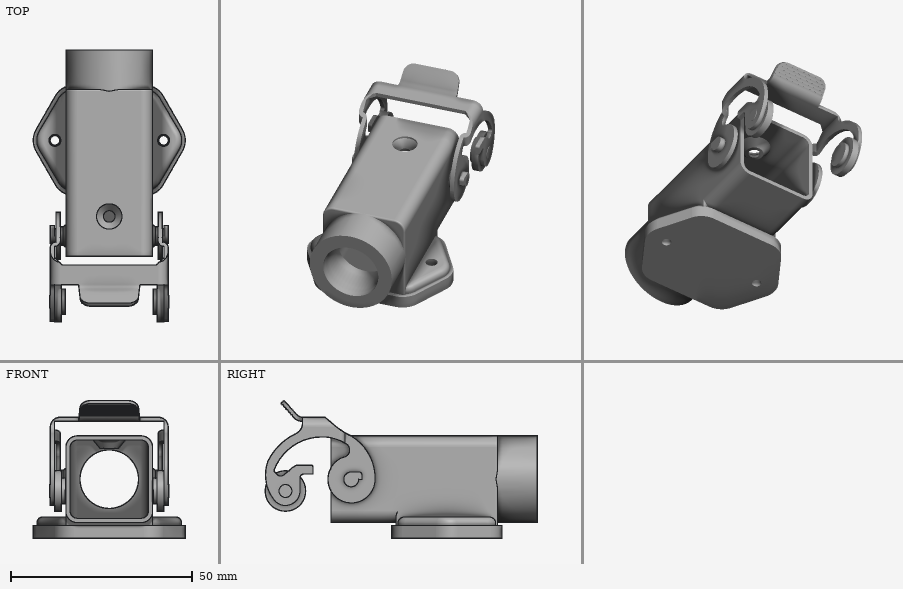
import cadquery as cq
import math

FLANGE_R = 6.0
FLANGE_TIP_X = 15.01
FLANGE_SHOULDER_X = 9.7
FLANGE_SHOULDER_Y = 9.27
FLANGE_BASE_H = 3.6
FLANGE_TOP_H = 5.95
FLANGE_STEP = 1.0
FLANGE_TOP_FILLET = 1.7
SCREW_HOLE_X = 15.0
SCREW_HOLE_R = 1.3
SCREW_COUNTERBORE_R = 1.65

TUBE_W = 24.0
TUBE_WALL = 1.2
TUBE_CORNER_R = 3.2
TUBE_AXIS_Z = 16.36
TUBE_FRONT_Y = -32.0
TUBE_BACK_Y = 14.05
PEDESTAL_FRONT_Y = -TUBE_BACK_Y
HOOD_EDGE_R = 0.5
CAVITY_BACK_R = 2.1

ENTRY_BACK_Y = 25.0
ENTRY_BORE_R = 8.05

SEAT_Y = -21.0
SEAT_TIP_DROP = 3.5
SEAT_ROOF_R = 4.5
SEAT_TIP_R = 2.55
SEAT_LIP = 0.55
SINK_R = 3.5
SINK_DEPTH = 2.2
SINK_HOLE_R = 1.6

SHEET = 1.2
LEVER_HALF_W = 16.3
EAR_HALF_W = 14.7
JOGGLE_Y = -28.1
JOGGLE_R = 1.5
BEND_R = 2.8
BAR_TOP_Z = 33.5
BAR_BACK_Y = -34.4
BAR_FRONT_Y = -39.86
BAR_BEVEL_X = 13.0
BAR_BEVEL_REACH = 3.5

LEVER_FRONT_Y = -60.0
LEVER_BACK_Y = -10.0
EAR_FRONT_Y = -34.0
EAR_TOP_Z = 24.0

PIVOT_Y = -26.4
PIVOT_Z = 16.3
EAR_R = 6.5
EAR_BACK = (-19.82, 16.4)
ARCH_Y = -34.54
ARCH_Z = 13.98
ARCH_OUTER_R = 16.6
ARCH_INNER_R = 14.0
ROLLER_Y = -44.55
ROLLER_Z = 13.1
HOOK_R = 4.0

BOSS_R = 2.6
BOSS_ROOT_R = 3.15
BOSS_ROOT_L = 0.7
PIN_R = 2.05
PIN_TAB_REACH = 2.95
PIN_TAB_CORNER = 0.8
ROLLER_R = 5.61
ROLLER_INNER_X = 13.25
ROLLER_BOSS_R = 3.55
ROLLER_BOSS_X = 12.1
RIVET_R = 1.78
RIVET_PROUD = 0.15

TAB_ANGLE = math.radians(48)
TAB_BEND_R = 2.1
TAB_TIP_Z = 38.1
TAB_ROOT_HALF_W = 8.5
TAB_TIP_HALF_W = 7.8
TAB_CORNER_R = 3.0
GROOVE_COUNT = 5
GROOVE_PITCH = 0.9
GROOVE_W = 0.45
GROOVE_DEPTH = 0.15


def mirrored(shape):
    """The shape together with its mirror image across the YZ plane."""
    return shape.union(shape.mirror("YZ"))


def x_cylinder(y, z, radius, x_from, x_to):
    return cq.Workplane("YZ", origin=(x_from, 0, 0)).center(y, z).circle(radius).extrude(x_to - x_from)


def xz_plane(y):
    """Workplane at the given Y whose extrusions grow toward +Y."""
    return cq.Workplane(cq.Plane((0, y, TUBE_AXIS_Z), (-1, 0, 0), (0, 1, 0)))


def flange_layer(radius, shoulder_y, height):
    corners = [
        (FLANGE_TIP_X, 0),
        (FLANGE_SHOULDER_X, shoulder_y),
        (-FLANGE_SHOULDER_X, shoulder_y),
        (-FLANGE_TIP_X, 0),
        (-FLANGE_SHOULDER_X, -shoulder_y),
        (FLANGE_SHOULDER_X, -shoulder_y),
    ]
    return cq.Workplane("XY").polyline(corners).close().offset2D(radius).extrude(height)


def make_flange():
    """Lower layer, with a rounded upper layer whose ends are flush with the pedestal."""
    upper_r = FLANGE_R - FLANGE_STEP
    upper = flange_layer(upper_r, TUBE_BACK_Y - upper_r, FLANGE_TOP_H)
    upper = upper.faces(">Z").edges().fillet(FLANGE_TOP_FILLET)
    return flange_layer(FLANGE_R, FLANGE_SHOULDER_Y, FLANGE_BASE_H).union(upper)


def make_screw_holes():
    """Through holes, counterbored down to the lower flange layer."""
    centres = [(-SCREW_HOLE_X, 0), (SCREW_HOLE_X, 0)]
    holes = cq.Workplane("XY").pushPoints(centres).circle(SCREW_HOLE_R).extrude(FLANGE_TOP_H)
    counterbores = (
        cq.Workplane("XY", origin=(0, 0, FLANGE_BASE_H))
        .pushPoints(centres)
        .circle(SCREW_COUNTERBORE_R)
        .extrude(FLANGE_TOP_H - FLANGE_BASE_H)
    )
    return holes.union(counterbores)


def make_hood():
    tube = xz_plane(TUBE_FRONT_Y).rect(TUBE_W, TUBE_W).extrude(TUBE_BACK_Y - TUBE_FRONT_Y)
    tube = tube.edges("|Y").fillet(TUBE_CORNER_R).faces(">Y").edges().fillet(HOOD_EDGE_R)
    pedestal = (
        cq.Workplane("XY")
        .center(0, (TUBE_BACK_Y + PEDESTAL_FRONT_Y) / 2)
        .rect(TUBE_W, TUBE_BACK_Y - PEDESTAL_FRONT_Y)
        .extrude(TUBE_AXIS_Z)
        .edges("|Z")
        .fillet(HOOD_EDGE_R)
    )
    entry_start_y = TUBE_BACK_Y - TUBE_WALL
    entry = xz_plane(entry_start_y).circle(TUBE_W / 2).extrude(ENTRY_BACK_Y - entry_start_y)
    return tube.union(pedestal).union(entry)


def make_cavity():
    width = TUBE_W - 2 * TUBE_WALL
    depth = TUBE_BACK_Y - TUBE_WALL - TUBE_FRONT_Y
    cavity = xz_plane(TUBE_FRONT_Y).rect(width, width).extrude(depth)
    cavity = cavity.edges("|Y").fillet(TUBE_CORNER_R - TUBE_WALL)
    rounded_back = (
        xz_plane(TUBE_FRONT_Y).rect(width, width).extrude(depth).edges("|Z and >Y").fillet(CAVITY_BACK_R)
    )
    bore = xz_plane(TUBE_FRONT_Y).circle(ENTRY_BORE_R).extrude(ENTRY_BACK_Y - TUBE_FRONT_Y)
    return cavity.intersect(rounded_back).union(bore)


def revolved_about_seat(profile):
    """Revolve (radius, z) points about the vertical axis of the screw seat."""
    seat = cq.Workplane("XZ", origin=(0, SEAT_Y, 0)).polyline(profile).close()
    return seat.revolve(360, (0, 0, 0), (0, 1, 0))


def add_screw_seat(body):
    roof_z = TUBE_AXIS_Z + TUBE_W / 2
    ceiling_z = roof_z - TUBE_WALL
    tip_z = roof_z - SEAT_TIP_DROP
    sink_z = roof_z - SEAT_LIP
    hole_z = sink_z - SINK_DEPTH
    cone = [(0, roof_z), (SEAT_ROOF_R, roof_z), (SEAT_ROOF_R, ceiling_z), (SEAT_TIP_R, tip_z), (0, tip_z)]
    sink = [
        (0, roof_z),
        (SINK_R, roof_z),
        (SINK_R, sink_z),
        (SINK_HOLE_R, hole_z),
        (SINK_HOLE_R, tip_z),
        (0, tip_z),
    ]
    return body.union(revolved_about_seat(cone)).cut(revolved_about_seat(sink))


def lever_side():
    """Outline of the whole lever in the YZ plane, extruded across its full width."""
    outline = (
        cq.Workplane("YZ", origin=(-LEVER_HALF_W, 0, 0))
        .moveTo(*EAR_BACK)
        .threePointArc((-21.97, 24.0), (-28.0, 29.1))
        .lineTo(-30.35, 30.7)
        .lineTo(-33.64, BAR_TOP_Z)
        .lineTo(BAR_FRONT_Y, BAR_TOP_Z)
        .lineTo(BAR_FRONT_Y, 31.7)
        .threePointArc((-40.3, 30.2), on_arch(ARCH_OUTER_R, -41.48))
        .threePointArc(on_arch(ARCH_OUTER_R, -45.0), on_arch(ARCH_OUTER_R, -49.39))
        .threePointArc((-50.06, 17.0), (-47.9, 10.93))
        .threePointArc((ROLLER_Y, ROLLER_Z - HOOK_R), (ROLLER_Y + HOOK_R, ROLLER_Z))
        .lineTo(ROLLER_Y + HOOK_R, 16.65)
        .threePointArc((-40.2, 17.45), (-39.4, 17.78))
        .lineTo(-36.92, 17.78)
        .lineTo(-36.92, 19.6)
        .threePointArc((-37.1, 20.1), (-37.6, 20.27))
        .lineTo(-41.33, 20.27)
        .threePointArc((-42.3, 19.8), (-43.38, 18.91))
        .lineTo(-44.96, 17.55)
        .threePointArc((-46.1, 17.26), (-47.2, 18.1))
        .threePointArc((-47.6, 18.5), on_arch(ARCH_INNER_R, -47.63))
        .threePointArc(on_arch(ARCH_INNER_R, -43.0), (ARCH_Y, ARCH_Z + ARCH_INNER_R))
        .threePointArc((-31.2, 27.6), (-28.09, 26.27))
        .threePointArc((-26.84, 24.69), (-28.65, 22.4))
        .threePointArc((PIVOT_Y, PIVOT_Z - EAR_R), EAR_BACK)
        .close()
    )
    return outline.extrude(2 * LEVER_HALF_W)


def on_arch(radius, y):
    """Point at the given Y on an arc about the arch centre."""
    return y, ARCH_Z + math.sqrt(radius**2 - (y - ARCH_Y) ** 2)


def box(x0, x1, y0, y1, z0, z1):
    return cq.Workplane("XY").box(x1 - x0, y1 - y0, z1 - z0, centered=False).translate((x0, y0, z0))


def make_lever():
    inner_x = LEVER_HALF_W - SHEET
    ear_inner_x = EAR_HALF_W - SHEET
    joggle_start_y = JOGGLE_Y - JOGGLE_R
    joggle_inner_r = inner_x - ear_inner_x
    joggle_mid = JOGGLE_R * math.sqrt(0.5)
    arm = (
        cq.Workplane("XY")
        .moveTo(inner_x, LEVER_FRONT_Y)
        .lineTo(LEVER_HALF_W, LEVER_FRONT_Y)
        .lineTo(LEVER_HALF_W, joggle_start_y)
        .threePointArc(
            (LEVER_HALF_W - JOGGLE_R + joggle_mid, joggle_start_y + joggle_mid),
            (LEVER_HALF_W - JOGGLE_R, JOGGLE_Y),
        )
        .lineTo(EAR_HALF_W, JOGGLE_Y)
        .lineTo(EAR_HALF_W, LEVER_BACK_Y)
        .lineTo(ear_inner_x, LEVER_BACK_Y)
        .lineTo(ear_inner_x, JOGGLE_Y - SHEET + joggle_inner_r)
        .radiusArc((inner_x, JOGGLE_Y - SHEET), -joggle_inner_r)
        .close()
        .extrude(BAR_TOP_Z)
    )
    arm = arm.cut(box(EAR_HALF_W, LEVER_HALF_W, EAR_FRONT_Y, JOGGLE_Y, 0, EAR_TOP_Z))
    ear = box(ear_inner_x, EAR_HALF_W, EAR_FRONT_Y, LEVER_BACK_Y, 0, EAR_TOP_Z)
    bevel_x = BAR_BEVEL_X + BAR_BEVEL_REACH
    bar = (
        cq.Workplane("XY", origin=(0, 0, BAR_TOP_Z - SHEET))
        .moveTo(0, BAR_FRONT_Y)
        .lineTo(bevel_x, BAR_FRONT_Y)
        .lineTo(bevel_x, BAR_BACK_Y + BAR_BEVEL_REACH)
        .lineTo(BAR_BEVEL_X, BAR_BACK_Y)
        .lineTo(0, BAR_BACK_Y)
        .close()
        .extrude(SHEET)
    )
    bend = box(-LEVER_HALF_W, LEVER_HALF_W, LEVER_FRONT_Y, LEVER_BACK_Y, 0, BAR_TOP_Z)
    bend = bend.edges("|Y and >Z").fillet(BEND_R)
    sheet = mirrored(arm.union(ear).union(bar))
    return sheet.intersect(bend).intersect(lever_side())


def make_tab():
    bend_z = BAR_TOP_Z + TAB_BEND_R
    outer_r = TAB_BEND_R + SHEET
    slope = (-math.cos(TAB_ANGLE), math.sin(TAB_ANGLE))

    def on_bend(radius, angle):
        return BAR_FRONT_Y - radius * math.sin(angle), bend_z - radius * math.cos(angle)

    upper_end = on_bend(TAB_BEND_R, TAB_ANGLE)
    lower_end = on_bend(outer_r, TAB_ANGLE)
    length = (TAB_TIP_Z - upper_end[1]) / slope[1]
    upper_tip = (upper_end[0] + length * slope[0], TAB_TIP_Z)
    lower_tip = (lower_end[0] + length * slope[0], lower_end[1] + length * slope[1])
    strip = (
        cq.Workplane("YZ", origin=(-TAB_ROOT_HALF_W, 0, 0))
        .moveTo(*on_bend(TAB_BEND_R, 0))
        .threePointArc(on_bend(TAB_BEND_R, TAB_ANGLE / 2), upper_end)
        .lineTo(*upper_tip)
        .lineTo(*lower_tip)
        .lineTo(*lower_end)
        .threePointArc(on_bend(outer_r, TAB_ANGLE / 2), on_bend(outer_r, 0))
        .close()
        .extrude(2 * TAB_ROOT_HALF_W)
    )
    taper = (
        cq.Workplane("XY")
        .polyline([
            (-TAB_ROOT_HALF_W, BAR_FRONT_Y),
            (TAB_ROOT_HALF_W, BAR_FRONT_Y),
            (TAB_TIP_HALF_W, lower_tip[0]),
            (-TAB_TIP_HALF_W, lower_tip[0]),
        ])
        .close()
        .extrude(TAB_TIP_Z)
    )
    tip_middle = ((upper_tip[0] + lower_tip[0]) / 2, (upper_tip[1] + lower_tip[1]) / 2)
    tab = strip.intersect(taper)
    for side in (-1, 1):
        corner = (side * TAB_TIP_HALF_W, *tip_middle)
        tab = tab.edges(cq.selectors.NearestToPointSelector(corner)).fillet(TAB_CORNER_R)
    underside = cq.Plane((0, *lower_tip), (1, 0, 0), (0, -slope[1], slope[0]))
    centres = [(0, -GROOVE_PITCH * (i + 1)) for i in range(GROOVE_COUNT)]
    groove_outlines = cq.Workplane(underside).pushPoints(centres).rect(2 * TAB_ROOT_HALF_W, GROOVE_W)
    grooves = groove_outlines.extrude(-GROOVE_DEPTH)
    return tab.cut(grooves)


def make_pivot():
    """Boss on the hood side, with the pin through the ear and its one-sided head."""
    wall_x = TUBE_W / 2
    root_x = wall_x - TUBE_WALL / 2
    boss = x_cylinder(PIVOT_Y, PIVOT_Z, BOSS_R, root_x, EAR_HALF_W - SHEET)
    root = (
        cq.Workplane("YZ", origin=(wall_x, 0, 0))
        .center(PIVOT_Y, PIVOT_Z)
        .circle(BOSS_ROOT_R)
        .workplane(offset=BOSS_ROOT_L)
        .circle(BOSS_R)
        .loft()
    )
    pin = x_cylinder(PIVOT_Y, PIVOT_Z, PIN_R, root_x, LEVER_HALF_W)
    head_tab = box(
        LEVER_HALF_W - SHEET, LEVER_HALF_W, PIVOT_Y, PIVOT_Y + PIN_TAB_REACH, PIVOT_Z, PIVOT_Z + PIN_R
    )
    head_tab = head_tab.edges("|X and >Y and >Z").fillet(PIN_TAB_CORNER)
    return boss.union(root).union(pin).union(head_tab)


def make_roller():
    arm_inner_x = LEVER_HALF_W - SHEET
    roller = x_cylinder(ROLLER_Y, ROLLER_Z, ROLLER_R, ROLLER_INNER_X, arm_inner_x)
    boss = x_cylinder(ROLLER_Y, ROLLER_Z, ROLLER_BOSS_R, ROLLER_BOSS_X, arm_inner_x)
    rivet = x_cylinder(ROLLER_Y, ROLLER_Z, RIVET_R, ROLLER_BOSS_X, LEVER_HALF_W + RIVET_PROUD)
    return roller.union(boss).union(rivet)


body = make_flange().union(make_hood()).cut(make_cavity())
body = add_screw_seat(body)
body = body.cut(make_screw_holes())
lever = make_lever().union(make_tab())
result = body.union(mirrored(make_pivot())).union(lever).union(mirrored(make_roller()))